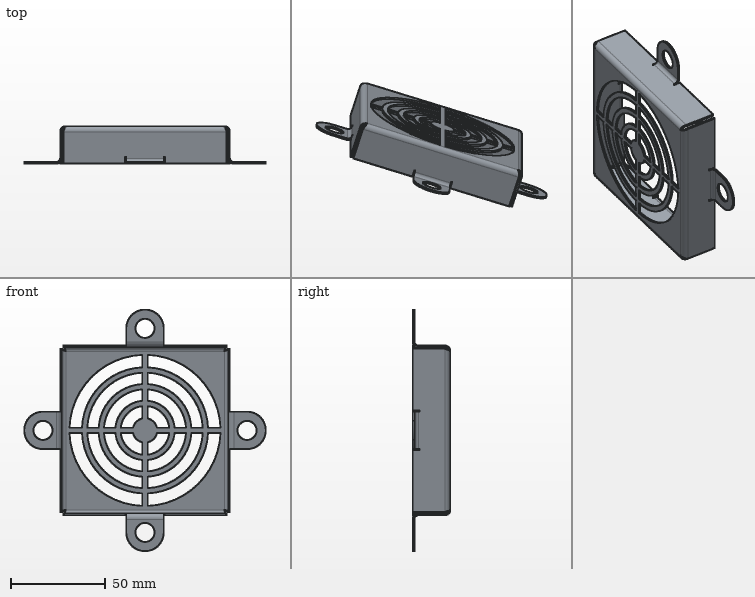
import cadquery as cq
import math

overall_span = 128.0
tray_depth = 20.0
plate_half = 42.0
wall_half_length = 43.3

sheet = 1.0
bend_inner = 2.0
bend_outer = bend_inner + sheet
tray_half = plate_half + bend_outer
wall_inner = tray_half - sheet

tab_radius = 10.0
tab_hole_radius = 5.0
tab_centre = overall_span / 2 - tab_radius
tab_bend_end = wall_inner + bend_outer
relief_half_width = 10.5
relief_depth = 3.6

grille_radius = 40.0
hub_radius = 6.5
ring_width = 3.0
innermost_ring = 14.3
ring_spacing = 8.8
ring_count = 3
ring_mid_radii = [innermost_ring + ring_spacing * number for number in range(ring_count)]
spoke_width = 3.0

front_y = -tray_depth / 2
back_y = tray_depth / 2
arc_45 = math.sqrt(0.5)


def disc(radius, thickness):
    """Disc centred on the Y axis, growing from the back face toward -Y."""
    return cq.Workplane("XZ", origin=(0, back_y, 0)).circle(radius).extrude(thickness)


def grille_plate():
    side = 2 * plate_half
    blank = cq.Workplane("XY").box(side, sheet, side).translate((0, back_y - sheet / 2, 0))
    grille = disc(hub_radius, sheet)
    for mid_radius in ring_mid_radii:
        ring = disc(mid_radius + ring_width / 2, sheet).cut(disc(mid_radius - ring_width / 2, sheet))
        grille = grille.union(ring)
    for spoke_size in ((2 * grille_radius, spoke_width), (spoke_width, 2 * grille_radius)):
        spoke = cq.Workplane("XZ", origin=(0, back_y, 0)).rect(*spoke_size).extrude(sheet)
        grille = grille.union(spoke)
    opening = disc(grille_radius, sheet)
    return blank.cut(opening.cut(grille))


def corner_cut():
    """Tool that narrows the +X end of the +Z bend evenly from the wall end to the plate corner.

    Its edge turns a quarter about the bend axis, so neighbouring bends stay apart at the corner.
    """
    reach = 2 * bend_outer
    return (
        cq.Workplane("YZ", origin=(plate_half, back_y - bend_outer, plate_half))
        .rect(reach, -reach, centered=False)
        .twistExtrude(wall_half_length - plate_half, 90)
    )


def side_wall():
    """The +Z wall with the bend that joins it to the grille plate."""
    bend_y = back_y - bend_outer
    inner_mid = (bend_y + bend_inner * arc_45, plate_half + bend_inner * arc_45)
    outer_mid = (bend_y + bend_outer * arc_45, plate_half + bend_outer * arc_45)
    wall = (
        cq.Workplane("YZ", origin=(-wall_half_length, 0, 0))
        .moveTo(front_y, wall_inner)
        .lineTo(bend_y, wall_inner)
        .threePointArc(inner_mid, (back_y - sheet, plate_half))
        .lineTo(back_y, plate_half)
        .threePointArc(outer_mid, (bend_y, tray_half))
        .lineTo(front_y, tray_half)
        .close()
        .extrude(2 * wall_half_length)
    )
    wall = wall.cut(corner_cut()).cut(corner_cut().mirror("YZ"))
    relief = cq.Workplane("XY").box(2 * relief_half_width, relief_depth, 2 * sheet)
    relief = relief.translate((0, front_y + relief_depth / 2, tray_half - sheet / 2))
    return wall.cut(relief)


def tab():
    """The +Z mounting tab, bent outward from its wall, with a round end and a hole."""
    bend_y = front_y + bend_outer
    outer_mid = (bend_y - bend_outer * arc_45, tab_bend_end - bend_outer * arc_45)
    inner_mid = (bend_y - bend_inner * arc_45, tab_bend_end - bend_inner * arc_45)
    tab_end = tab_centre + tab_radius
    wall_overlap_y = front_y + relief_depth
    strip = (
        cq.Workplane("YZ", origin=(-tab_radius, 0, 0))
        .moveTo(wall_overlap_y, wall_inner)
        .lineTo(bend_y, wall_inner)
        .threePointArc(outer_mid, (front_y, tab_bend_end))
        .lineTo(front_y, tab_end)
        .lineTo(front_y + sheet, tab_end)
        .lineTo(front_y + sheet, tab_bend_end)
        .threePointArc(inner_mid, (bend_y, tray_half))
        .lineTo(wall_overlap_y, tray_half)
        .close()
        .extrude(2 * tab_radius)
    )
    outline = (
        cq.Workplane("XZ", origin=(0, back_y, 0))
        .moveTo(-tab_radius, wall_inner)
        .lineTo(-tab_radius, tab_centre)
        .threePointArc((0, tab_end), (tab_radius, tab_centre))
        .lineTo(tab_radius, wall_inner)
        .close()
        .extrude(tray_depth)
    )
    hole = (
        cq.Workplane("XZ", origin=(0, back_y, 0))
        .center(0, tab_centre)
        .circle(tab_hole_radius)
        .extrude(tray_depth)
    )
    return strip.intersect(outline).cut(hole)


result = grille_plate()
wall_with_tab = side_wall().union(tab())
for quarter in range(4):
    result = result.union(wall_with_tab.rotate((0, 0, 0), (0, 1, 0), 90 * quarter))